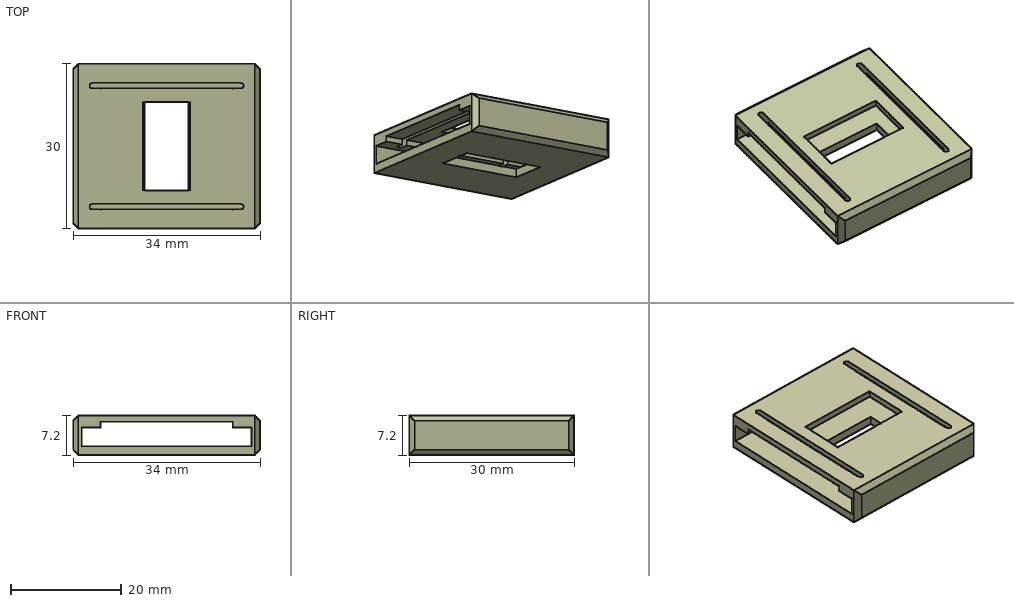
import cadquery as cq

length = 34.0
width = 30.0
height = 7.2
end_chamfer = 1.0

floor_thickness = 1.6
lid_thickness = 1.2
side_ledge_drop = 1.02
cavity_length = 30.8
cavity_upper_length = 24.0

window_top_length = 8.6
window_bottom_length = 7.85
window_width = 16.0

slot_length = 28.0
slot_width = 1.0
slot_spacing = 22.0


def make_block():
    """Block with the edges around both X end faces chamfered."""
    block = cq.Workplane("XY").box(length, width, height, centered=(True, True, False))
    return block.faces("<X or >X").edges().chamfer(end_chamfer)


def make_cavity():
    """Wide channel topped by a narrower recess, open at both Y faces."""
    cavity_height = height - floor_thickness - lid_thickness
    lower_height = cavity_height - side_ledge_drop
    centred = (True, True, False)
    base = cq.Workplane("XY").workplane(offset=floor_thickness)
    lower = base.box(cavity_length, width, lower_height, centered=centred)
    upper = base.box(cavity_upper_length, width, cavity_height, centered=centred)
    return lower.union(upper)


def make_window():
    """Trapezoidal prism with its sloped sides facing along X."""
    half_top = window_top_length / 2
    half_bottom = window_bottom_length / 2
    outline = [(-half_bottom, 0), (half_bottom, 0), (half_top, height), (-half_top, height)]
    return cq.Workplane("XZ").polyline(outline).close().extrude(window_width / 2, both=True)


def make_slots():
    """Slots reaching from the top face down into the cavity."""
    depth = lid_thickness + side_ledge_drop
    return (
        cq.Workplane("XY")
        .workplane(offset=height - depth)
        .pushPoints([(0, -slot_spacing / 2), (0, slot_spacing / 2)])
        .slot2D(slot_length, slot_width)
        .extrude(depth)
    )


result = make_block().cut(make_cavity()).cut(make_window()).cut(make_slots())